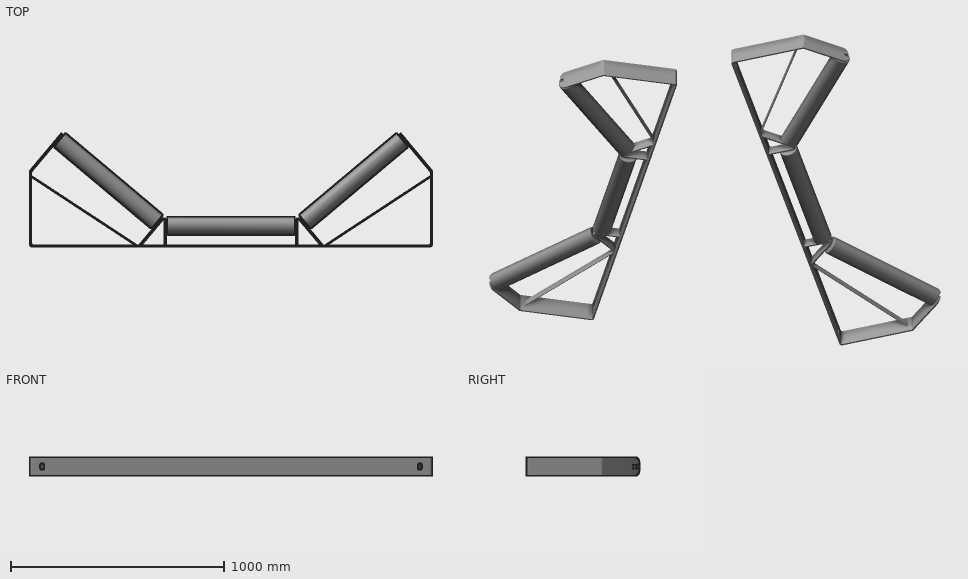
import cadquery as cq
import math

frame_length = 1890.0
strip_width = 89.0
strip_thickness = 8.0
bracket_width = 47.0
bend_radius = 13.0
inner_bend_radius = bend_radius - strip_thickness

roller_diameter = 87.0
roller_length = 600.0
roller_edge_radius = 5.0
end_clearance = 5.1
roller_tilt = 40.0
center_roller_height = 98.0
shaft_width = 19.0

upright_height = 355.0
arm_length = 230.0
arm_tip_radius = 28.0
axis_along_arm = 202.0

brace_thickness = 4.0
brace_width = 28.0
brace_top_height = 333.0
brace_foot_x = 440.0

mount_slot_from_end = 59.0
mount_slot_height = 28.0
mount_slot_width = 20.0

half_length = frame_length / 2
span = roller_length + 2 * end_clearance
shaft_length = span + 2 * strip_thickness
tilt = math.radians(roller_tilt)
arm_direction = cq.Vector(math.sin(tilt), math.cos(tilt))
axis_direction = cq.Vector(math.cos(tilt), -math.sin(tilt))
arm_corner = cq.Vector(-half_length, upright_height)
axis_start = arm_corner + arm_direction * axis_along_arm
side_roller_center = axis_start + axis_direction * (shaft_length / 2)
post_inner_x = -span / 2
post_outer_x = post_inner_x - strip_thickness


def extrude_outline(points, width):
    """Plate with the given XY outline, centred on Z = 0."""
    return cq.Workplane("XY").polyline(points).close().extrude(width).translate((0, 0, -width / 2))


def round_corner(plate, point, radius):
    """Round the Z-parallel edge that passes through an XY point."""
    edge = plate.edges("|Z").edges(cq.NearestToPointSelector((point[0], point[1], 0)))
    return edge.fillet(radius)


def make_outer_strip():
    """Left half of the bent outer strip: base, upright and sloping arm with a rounded tip."""
    base_corner = cq.Vector(-half_length, 0)
    arm_tip = arm_corner + arm_direction * arm_length
    inner_base = cq.Vector(-half_length + strip_thickness, strip_thickness)
    inner_arm = arm_corner + cq.Vector(1, -math.tan(tilt / 2)) * strip_thickness
    inner_tip = arm_tip + axis_direction * strip_thickness
    outline = [
        (0, 0),
        base_corner.toTuple()[:2],
        arm_corner.toTuple()[:2],
        arm_tip.toTuple()[:2],
        inner_tip.toTuple()[:2],
        inner_arm.toTuple()[:2],
        inner_base.toTuple()[:2],
        (0, strip_thickness),
    ]
    strip = extrude_outline(outline, strip_width)
    for corner in (base_corner, arm_corner):
        strip = round_corner(strip, corner.toTuple(), bend_radius)
    for corner in (inner_base, inner_arm):
        strip = round_corner(strip, corner.toTuple(), inner_bend_radius)
    for side in (-1, 1):
        tip = (arm_tip + inner_tip) * 0.5 + cq.Vector(0, 0, side * strip_width / 2)
        strip = strip.edges(cq.NearestToPointSelector(tip.toTuple())).fillet(arm_tip_radius)
    return strip


def make_bracket():
    """Left inner bracket: a vertical post bent over into a plate square to the side roller."""
    plate_face = axis_start + axis_direction * (strip_thickness + span)
    plate_slope = arm_direction.y / arm_direction.x

    def plate_x(y):
        return plate_face.x + (y - plate_face.y) / plate_slope

    back_shift = strip_thickness / axis_direction.x
    peak = (post_inner_x, plate_face.y + (post_inner_x - plate_face.x) * plate_slope)
    crotch = (post_outer_x, plate_face.y + (post_outer_x - back_shift - plate_face.x) * plate_slope)
    foot_y = strip_thickness / 2
    outline = [
        (plate_x(foot_y), foot_y),
        peak,
        (post_inner_x, foot_y),
        (post_outer_x, foot_y),
        crotch,
        (plate_x(foot_y) + back_shift, foot_y),
    ]
    bracket = extrude_outline(outline, bracket_width)
    bracket = round_corner(bracket, peak, bend_radius)
    return round_corner(bracket, crotch, inner_bend_radius)


def make_brace():
    """Left diagonal bar from the base to the upright."""
    top = cq.Vector(-half_length + strip_thickness / 2, brace_top_height)
    foot = cq.Vector(-brace_foot_x, strip_thickness / 2)
    run = foot - top
    middle = (top + foot) * 0.5
    angle = math.degrees(math.atan2(run.y, run.x))
    bar = cq.Workplane("XY").box(run.Length, brace_thickness, brace_width)
    return bar.rotate((0, 0, 0), (0, 0, 1), angle).translate(middle)


def side_shaft(length):
    """Square bar along the left roller axis."""
    bar = cq.Workplane("XY").box(length, shaft_width, shaft_width)
    return bar.rotate((0, 0, 0), (0, 0, 1), -roller_tilt).translate(side_roller_center)


def make_frame():
    """Welded frame with open shaft slots in the arms, shaft holes in the brackets and mounting slots."""
    half = make_outer_strip().union(make_bracket()).union(make_brace())
    slot_depth = arm_length
    slot = cq.Workplane("XY").box(strip_thickness * 2, slot_depth, shaft_width)
    slot = slot.translate((0, slot_depth / 2 - shaft_width / 2, 0))
    slot = slot.rotate((0, 0, 0), (0, 0, 1), -roller_tilt)
    slot = slot.translate(axis_start + axis_direction * (strip_thickness / 2))
    half = half.cut(slot).cut(side_shaft(shaft_length + 19))
    frame = half.union(half.mirror("YZ"))
    center = cq.Workplane("XY").box(shaft_length, shaft_width, shaft_width)
    frame = frame.cut(center.translate((0, center_roller_height, 0)))
    mount_x = half_length - mount_slot_from_end
    mounts = (
        cq.Workplane("XZ")
        .pushPoints([(-mount_x, 0), (mount_x, 0)])
        .slot2D(mount_slot_height, mount_slot_width, 90)
        .extrude(-strip_thickness)
    )
    return frame.cut(mounts)


def make_roller(center, angle):
    """Roller with rounded rims on a square shaft, lying along X before it is turned about Z."""
    drum = cq.Workplane("YZ").workplane(offset=-roller_length / 2)
    drum = drum.circle(roller_diameter / 2).extrude(roller_length)
    drum = drum.edges("%CIRCLE").fillet(roller_edge_radius)
    roller = drum.union(cq.Workplane("XY").box(shaft_length, shaft_width, shaft_width))
    return roller.rotate((0, 0, 0), (0, 0, 1), angle).translate(center)


frame = make_frame()
side_x = side_roller_center.x
side_y = side_roller_center.y
roller_places = [
    ((side_x, side_y, 0), -roller_tilt),
    ((0, center_roller_height, 0), 0),
    ((-side_x, side_y, 0), roller_tilt),
]
rollers = [make_roller(center, angle) for center, angle in roller_places]

result = cq.Compound.makeCompound([frame.val(), *[roller.val() for roller in rollers]])